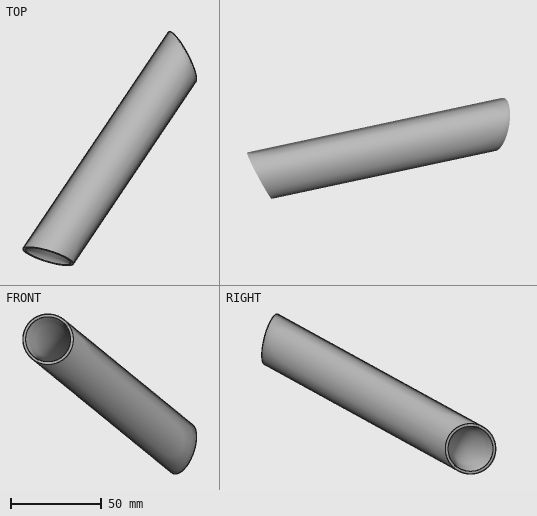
import cadquery as cq

OUTER_RADIUS = 14.0
WALL = 1.5
INNER_RADIUS = OUTER_RADIUS - WALL

RUN_X = 74.5
RUN_Y = 110.7
DROP_Z = 60.8

NEAR_CENTRE = cq.Vector(0, 0, 0)
FAR_CENTRE = cq.Vector(RUN_X, RUN_Y, -DROP_Z)
AXIS = (FAR_CENTRE - NEAR_CENTRE).normalized()

END_STOCK = 2 * OUTER_RADIUS
TRIM_WIDTH = 8 * OUTER_RADIUS
TRIM_DEPTH = 2 * END_STOCK


def overlong_tube():
    """Straight tube extending past both mitre faces."""
    length = (FAR_CENTRE - NEAR_CENTRE).Length + 2 * END_STOCK
    start = cq.Plane(origin=NEAR_CENTRE - AXIS * END_STOCK, normal=AXIS)
    return cq.Workplane(start).circle(OUTER_RADIUS).circle(INNER_RADIUS).extrude(length)


def mitre_block(centre, neighbour_direction, outward):
    """Block outside the plane that bisects the tube axis and its neighbour's axis."""
    bisector = (AXIS + neighbour_direction).normalized()
    face = cq.Plane(origin=centre, normal=bisector * outward)
    return cq.Workplane(face).rect(TRIM_WIDTH, TRIM_WIDTH).extrude(TRIM_DEPTH)


near_block = mitre_block(NEAR_CENTRE, cq.Vector(0, 1, 0), -1)
far_block = mitre_block(FAR_CENTRE, cq.Vector(1, 0, 0), 1)

result = overlong_tube().cut(near_block).cut(far_block)